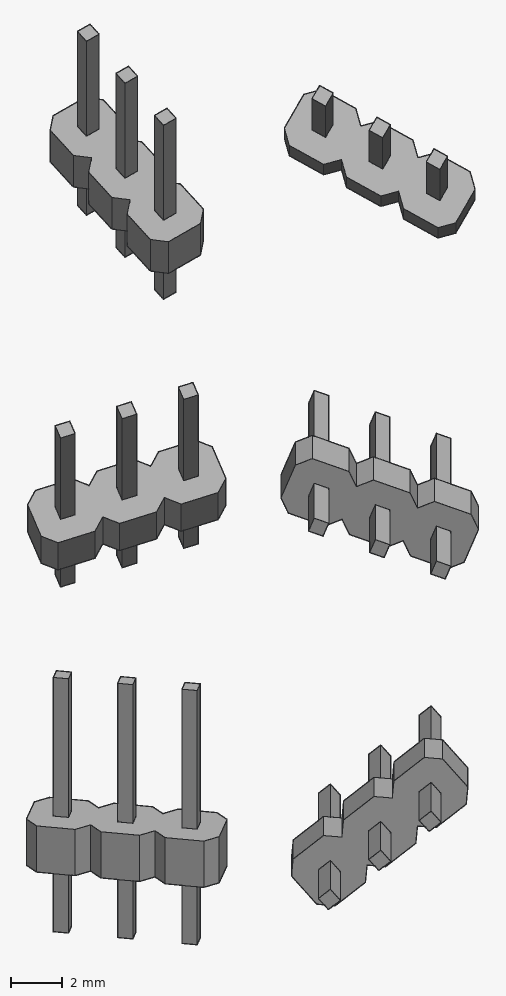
import cadquery as cq

pin_count = 3
pitch = 2.54
cell_chamfer = 0.51
housing_height = 2.0
pin_width = 0.6
pin_length = 11.0
tail_length = 3.0

pin_positions = [((i - (pin_count - 1) / 2) * pitch, 0) for i in range(pin_count)]


def make_cell(position):
    """One square housing cell with chamfered upright edges, resting on Z = 0."""
    return (
        cq.Workplane("XY")
        .center(*position)
        .rect(pitch, pitch)
        .extrude(housing_height)
        .edges("|Z")
        .chamfer(cell_chamfer)
    )


def make_pins():
    """Square pins running from the tail ends up through the housing."""
    return (
        cq.Workplane("XY", origin=(0, 0, -tail_length))
        .pushPoints(pin_positions)
        .rect(pin_width, pin_width)
        .extrude(pin_length)
    )


result = make_pins()
for pin_position in pin_positions:
    result = result.union(make_cell(pin_position))
result = result.clean()